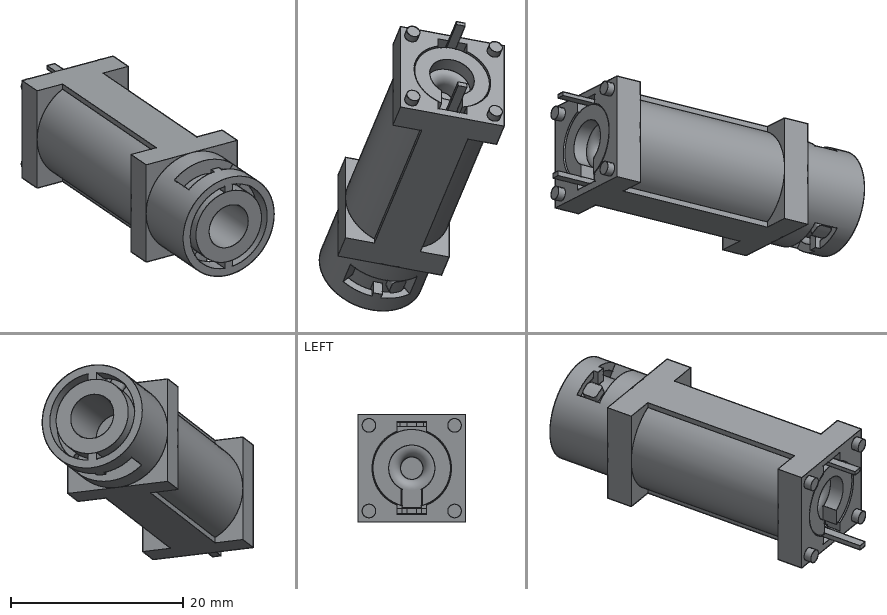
import cadquery as cq
import math


side = 12.5
outer_radius = side / 2
flange_length = 3.3
trunk_length = 20.43
web_width = 5.55
barrel_length = 8.05
front_flange_start = flange_length + trunk_length
barrel_start = front_flange_start + flange_length
housing_end = barrel_start + barrel_length
bore_radius = 4.5
mouth_radius = 4.6

channel_width = 3.47
channel_top = 5.4
channel_depth = flange_length

window_setback = 2.6
window_start = barrel_start + window_setback
window_length = 3.1
window_half_angle = 40
window_end = window_start + window_length
front_bore_radius = 5.3
tooth_length = 0.65
rib_width = 1.05

peg_radius = 0.8
peg_length = 0.95
peg_offset = 4.95

insulator_recess = 0.15
socket_radius = 2.7
notch_width = 2.5

centre_recess = 1.95
centre_length = 3.3
centre_hole_radius = 1.3
centre_hole_depth = 2.5
flare_radius = 1.22
tab_width = 2.25
tab_thickness = 1.4
tab_reach = 4.58

pin_width = 1.05
contact_outer = 5.3
shoulder_recess = 1.3
foot_recess = 1.97
upper_pin_length = 3.63
upper_contact_inner = 4.8
upper_shoulder_width = 2.72
lower_pin_length = 4.35
lower_contact_inner = 4.7
lower_shoulder_width = tab_width

lug_length = 1.97
lug_width = 1.85
lug_start = window_end - lug_length
lug_top_radius = 5.5
lug_corner = 0.47
lug_angle = 25


def block(start, end, width, bottom, top):
    """Box from x = start to end, centred on y = 0, from z = bottom to top."""
    return (
        cq.Workplane("XY")
        .box(end - start, width, top - bottom, centered=(False, True, False))
        .translate((start, 0, bottom))
    )


def rod(start, end, radius):
    """Cylinder about the X axis from x = start to end."""
    return cq.Workplane("YZ").workplane(offset=start).circle(radius).extrude(end - start)


def half_turn(shape):
    """The same shape turned to the opposite side of the X axis."""
    return shape.rotate((0, 0, 0), (1, 0, 0), 180)


def make_window():
    """Upper bayonet window: a sector with radial sides."""
    reach = 2 * outer_radius
    half_width = reach * math.tan(math.radians(window_half_angle))
    return (
        cq.Workplane("YZ")
        .workplane(offset=window_start)
        .polyline([(0, 0), (half_width, reach), (-half_width, reach)])
        .close()
        .extrude(window_length)
    )


def make_bayonet_cut():
    """Both windows and the wide front bore, less the two ribs."""
    window = make_window()
    cavity = window.union(half_turn(window)).union(rod(window_end, housing_end, front_bore_radius))
    ribs = block(window_end - tooth_length, housing_end, rib_width, -outer_radius, outer_radius)
    return cavity.cut(ribs)


def make_housing():
    body = rod(0, housing_end, outer_radius)
    for start in (0, front_flange_start):
        body = body.union(block(start, start + flange_length, side, -outer_radius, outer_radius))
    body = body.union(block(0, barrel_start, web_width, -outer_radius, outer_radius))
    body = body.cut(rod(0, housing_end, bore_radius))
    body = body.cut(rod(0, flange_length, mouth_radius))
    body = body.cut(block(0, channel_depth, channel_width, -channel_top, channel_top))
    return body.cut(make_bayonet_cut())


def make_peg(y, z):
    return rod(-peg_length, 0, peg_radius).translate((0, y, z))


def make_insulator():
    plug = rod(insulator_recess, barrel_start, bore_radius)
    plug = plug.cut(rod(0, centre_recess + centre_length, socket_radius))
    return plug.cut(block(0, centre_recess + tab_thickness, notch_width, -outer_radius, 0))


def make_centre_contact():
    face = centre_recess
    socket = rod(face, face + centre_length, socket_radius)
    tab = block(face, face + tab_thickness, tab_width, -tab_reach, 0)
    flare_outer = centre_hole_radius + flare_radius
    mid_arc = flare_radius * (1 - math.sqrt(0.5))
    hole = (
        cq.Workplane("XY")
        .moveTo(face, 0)
        .lineTo(face, flare_outer)
        .threePointArc(
            (face + mid_arc, centre_hole_radius + mid_arc),
            (face + flare_radius, centre_hole_radius),
        )
        .lineTo(face + centre_hole_depth, centre_hole_radius)
        .lineTo(face + centre_hole_depth, 0)
        .close()
        .revolve(360, (0, 0, 0), (1, 0, 0))
    )
    return socket.union(tab).cut(hole)


def make_flat_contact(pin_length, inner, shoulder_width):
    """Flat contact above the axis, seated against the end of its channel."""
    pin = block(-pin_length, channel_depth, pin_width, inner, contact_outer)
    shoulder = block(shoulder_recess, channel_depth, shoulder_width, inner, contact_outer)
    foot = block(foot_recess, channel_depth, channel_width, inner, contact_outer)
    return pin.union(shoulder).union(foot)


def make_lug():
    lug = block(lug_start, lug_start + lug_length, lug_width, 0, outer_radius)
    lug = lug.edges("|Z").fillet(lug_corner)
    lug = lug.intersect(rod(lug_start, lug_start + lug_length, lug_top_radius))
    return lug.rotate((0, 0, 0), (1, 0, 0), -lug_angle)


def make_bayonet_sleeve():
    lug = make_lug()
    sleeve = rod(barrel_start, housing_end, bore_radius).union(lug).union(half_turn(lug))
    return sleeve.cut(rod(barrel_start, housing_end, socket_radius))


housing = make_housing()
pegs = [make_peg(y, z) for y in (-peg_offset, peg_offset) for z in (-peg_offset, peg_offset)]
insulator = make_insulator()
centre_contact = make_centre_contact()
upper_contact = make_flat_contact(upper_pin_length, upper_contact_inner, upper_shoulder_width)
lower_contact = half_turn(
    make_flat_contact(lower_pin_length, lower_contact_inner, lower_shoulder_width)
)
bayonet_sleeve = make_bayonet_sleeve()

result = cq.Compound.makeCompound([
    housing.val(),
    *[peg.val() for peg in pegs],
    insulator.val(),
    centre_contact.val(),
    upper_contact.val(),
    lower_contact.val(),
    bayonet_sleeve.val(),
])